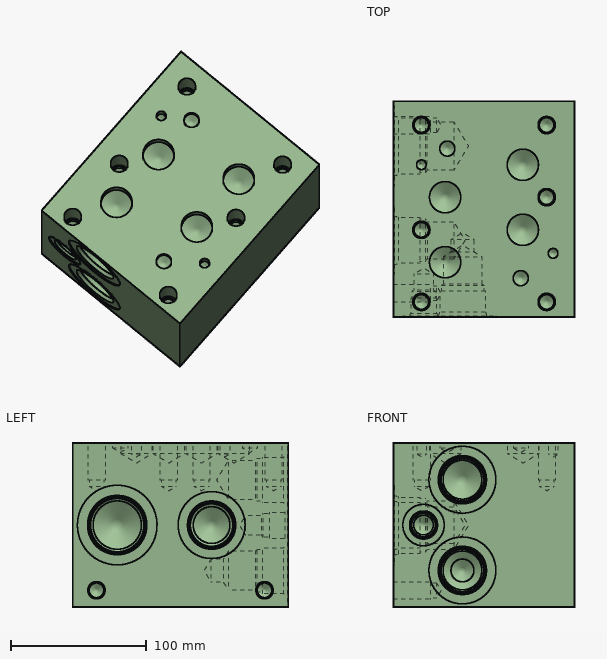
import cadquery as cq
import math

LENGTH_X = 133.4
LENGTH_Y = 158.8
HEIGHT = 120.6
MID_X = LENGTH_X / 2
MID_Z = HEIGHT / 2

DRILL_POINT_ANGLE = 118.0
DRILL_POINT_SLOPE = math.tan(math.radians(DRILL_POINT_ANGLE / 2))

BOLT_SPAN_X = 92.0
BOLT_SPAN_Y = 130.0
PATTERN_X = MID_X - BOLT_SPAN_X / 2
PATTERN_Y = 11.1
LEFT_MID_BOLT = 53.0
RIGHT_MID_BOLT = 77.0
BOLT_THREAD_DIA = 12.7
BOLT_CORE_DIA = 10.8
BOLT_THREAD_DEPTH = 27.0
BOLT_CORE_DEPTH = 31.8

FLOW_DIA = 23.0
FLOW_DEPTH = 7.6
FLOW_LEFT_X = 17.5
FLOW_RIGHT_X = 74.6
BACK_FLOW_Y = 100.8
FLOW_HOLES = [
    (FLOW_LEFT_X, BOLT_SPAN_Y - BACK_FLOW_Y),
    (FLOW_LEFT_X, RIGHT_MID_BOLT),
    (FLOW_RIGHT_X, LEFT_MID_BOLT),
    (FLOW_RIGHT_X, BACK_FLOW_Y),
]
PILOT_DIA = 11.1
PILOT_DEPTH = 3.5
PILOT_HOLES = [(19.0, 112.7), (73.0, 17.5)]
PIN_DIA = 7.1
PIN_DEPTH = 8.0
PIN_HOLES = [(0.0, BACK_FLOW_Y), (96.8, 35.7)]

SIDE_BOLT_Y = (17.6, 141.1)
SIDE_BOLT_Z = 12.4

SPOTFACE_DEPTH = 0.8
SEAT_HALF_ANGLE = 15.0
SEAT_SLOPE = math.tan(math.radians(SEAT_HALF_ANGLE))
AB_X = 50.8
AB_OFFSET_Z = 33.3
Y_PORT_X = 22.2
P_PORT_Y = 56.5
T_PORT_Y = 125.9

LARGE_PORT = dict(spotface=58.5, seat=43.7, thread=41.3, minor=39.2, drill=35.5,
                  seat_depth=3.8, thread_depth=19.4, minor_depth=23.5, drill_depth=44.5)
MEDIUM_PORT = dict(spotface=49.2, seat=35.5, thread=33.3, minor=31.3, drill=28.5,
                   seat_depth=3.8, thread_depth=19.4, minor_depth=23.5, drill_depth=44.5)
P_PORT = dict(MEDIUM_PORT, drill=27.0)
SMALL_PORT = dict(spotface=30.5, seat=20.6, thread=19.0, minor=17.5, drill=14.5,
                  seat_depth=2.9, thread_depth=14.3, minor_depth=19.0, drill_depth=31.8)

A_PASSAGE_DIA = 16.8
A_PASSAGE_DEPTH = 57.2


def revolved_cutter(profile):
    """Solid of revolution about +Z from (diameter, depth) points, closed by a drill point."""
    last_dia, last_depth = profile[-1]
    tip_depth = last_depth + last_dia / 2 / DRILL_POINT_SLOPE
    outline = [(0, 0)]
    outline += [(dia / 2, depth) for dia, depth in profile]
    outline += [(0, tip_depth)]
    return cq.Workplane("XZ").polyline(outline).close().revolve(360, (0, 0), (0, 1))


def stepped_hole(*steps):
    """Round steps from the mouth inwards, each given as (diameter, depth of its bottom)."""
    profile = []
    top = 0
    for dia, bottom in steps:
        profile += [(dia, top), (dia, bottom)]
        top = bottom
    return revolved_cutter(profile)


def port(size):
    """Threaded port: spotface, tapered seal seat, thread, thread core and drill."""
    seat_end = size["seat"] - 2 * SEAT_SLOPE * (size["seat_depth"] - SPOTFACE_DEPTH)
    minor_point = (size["minor"] - size["drill"]) / 2 / DRILL_POINT_SLOPE
    return revolved_cutter([
        (size["spotface"], 0),
        (size["spotface"], SPOTFACE_DEPTH),
        (size["seat"], SPOTFACE_DEPTH),
        (seat_end, size["seat_depth"]),
        (size["thread"], size["seat_depth"]),
        (size["thread"], size["thread_depth"]),
        (size["minor"], size["thread_depth"]),
        (size["minor"], size["minor_depth"]),
        (size["drill"], size["minor_depth"] + minor_point),
        (size["drill"], size["drill_depth"]),
    ])


def into_top(cutter, x, y):
    return cutter.rotate((0, 0, 0), (1, 0, 0), 180).translate((x, y, HEIGHT))


def into_front(cutter, x, z):
    return cutter.rotate((0, 0, 0), (1, 0, 0), -90).translate((x, 0, z))


def into_left(cutter, y, z):
    return cutter.rotate((0, 0, 0), (0, 1, 0), 90).translate((0, y, z))


bolt_hole = stepped_hole((BOLT_THREAD_DIA, BOLT_THREAD_DEPTH), (BOLT_CORE_DIA, BOLT_CORE_DEPTH))

result = cq.Workplane("XY").box(LENGTH_X, LENGTH_Y, HEIGHT, centered=False)

bolt_columns = [(0, (0, LEFT_MID_BOLT, BOLT_SPAN_Y)), (BOLT_SPAN_X, (0, RIGHT_MID_BOLT, BOLT_SPAN_Y))]
for column_x, rows in bolt_columns:
    for row_y in rows:
        result = result.cut(into_top(bolt_hole, PATTERN_X + column_x, PATTERN_Y + row_y))

pattern_holes = [
    (stepped_hole((FLOW_DIA, FLOW_DEPTH)), FLOW_HOLES),
    (stepped_hole((PILOT_DIA, PILOT_DEPTH)), PILOT_HOLES),
    (stepped_hole((PIN_DIA, PIN_DEPTH)), PIN_HOLES),
]
for cutter, places in pattern_holes:
    for dx, dy in places:
        result = result.cut(into_top(cutter, PATTERN_X + dx, PATTERN_Y + dy))

port_a_z = MID_Z - AB_OFFSET_Z
port_b_z = MID_Z + AB_OFFSET_Z
a_passage = stepped_hole((A_PASSAGE_DIA, A_PASSAGE_DEPTH))
result = result.cut(into_front(port(MEDIUM_PORT), AB_X, port_a_z))
result = result.cut(into_front(a_passage, AB_X, port_a_z))
result = result.cut(into_front(port(MEDIUM_PORT), AB_X, port_b_z))
result = result.cut(into_front(port(SMALL_PORT), Y_PORT_X, MID_Z))

result = result.cut(into_left(port(P_PORT), P_PORT_Y, MID_Z))
result = result.cut(into_left(port(LARGE_PORT), T_PORT_Y, MID_Z))
for bolt_y in SIDE_BOLT_Y:
    result = result.cut(into_left(bolt_hole, bolt_y, SIDE_BOLT_Z))